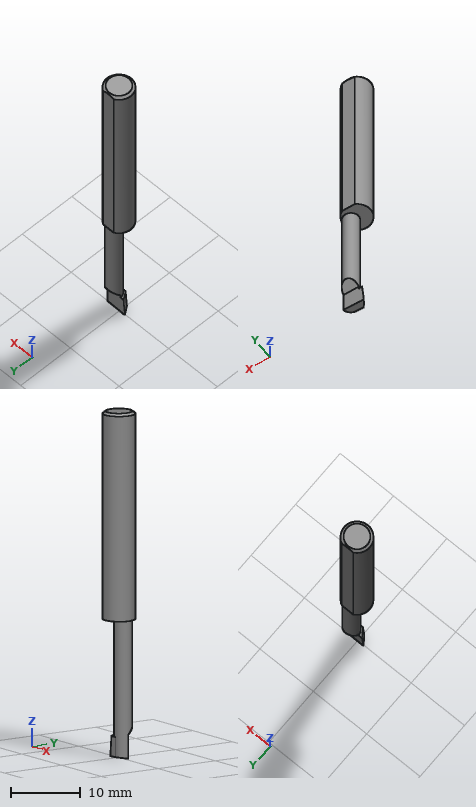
import cadquery as cq

total_length = 50.8
shank_radius = 2.4
shank_bottom = 20.3
flat_offset = 2.15
chamfer_height = 0.35
chamfer_width = 0.45

neck_radius = 1.345
neck_x = shank_radius - neck_radius

relief_height = 3.65
relief_run_out = 1.35

tooth_height = 3.25
tooth_lean = 0.3
tip_x = -1.2
heel_x = -0.6
heel_y = -0.9
back_x = -0.3
tip_chamfer = 0.15

end_rise_y = 0.2
end_rise_x = 0.15


def make_shank():
    length = total_length - shank_bottom
    straight_length = length - chamfer_height
    shank = (
        cq.Workplane("XZ", origin=(0, 0, shank_bottom))
        .polyline([
            (0, 0),
            (shank_radius, 0),
            (shank_radius, straight_length),
            (shank_radius - chamfer_width, length),
            (0, length),
        ])
        .close()
        .revolve(360, (0, 0, 0), (0, 1, 0))
    )
    envelope = cq.Workplane("XY", origin=(0, 0, shank_bottom)).box(
        2 * shank_radius, shank_radius + flat_offset, length, centered=(True, False, False)
    )
    return shank.intersect(envelope.translate((0, -shank_radius, 0)))


def make_neck():
    neck = cq.Workplane("XY").center(neck_x, 0).circle(neck_radius).extrude(shank_bottom)
    relief = (
        cq.Workplane("YZ")
        .polyline([
            (0, 0),
            (0, relief_height),
            (neck_radius, relief_height + relief_run_out),
            (neck_radius, 0),
        ])
        .close()
        .extrude(2 * shank_radius, both=True)
    )
    return neck.cut(relief)


def tooth_outline(shift):
    """Tooth section with its outer flank moved along X by shift."""
    return [
        (tip_x + shift, 0),
        (heel_x + shift, heel_y),
        (back_x + shift, -neck_radius),
        (neck_x, -neck_radius),
        (neck_x, 0),
    ]


def make_tooth():
    return (
        cq.Workplane("XY")
        .polyline(tooth_outline(0))
        .close()
        .workplane(offset=tooth_height)
        .polyline(tooth_outline(tooth_lean))
        .close()
        .loft(ruled=True)
    )


def end_outline(rise):
    """Section of the material removed below the end face, with that face lifted by rise."""
    return [
        (tip_x, rise + tip_chamfer),
        (tip_x + tip_chamfer, rise),
        (shank_radius, rise + end_rise_x),
        (shank_radius, -end_rise_y),
        (tip_x, -end_rise_y),
    ]


def make_end_clearance():
    """Wedge below an end face that slopes up towards +X and towards -Y."""
    return (
        cq.Workplane("XZ")
        .polyline(end_outline(0))
        .close()
        .workplane(offset=neck_radius)
        .polyline(end_outline(end_rise_y))
        .close()
        .loft(ruled=True)
    )


result = make_shank().union(make_neck()).union(make_tooth()).cut(make_end_clearance())